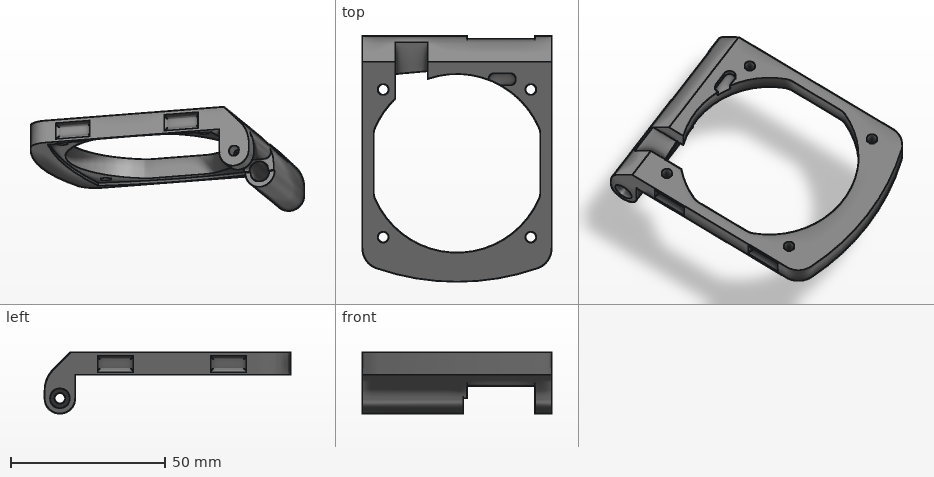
import cadquery as cq
import math


WIDTH = 61.5
LENGTH = 79.82
HEIGHT = 20.0
PLATE_THICKNESS = 7.4
REAR_Y = 41.35
FRONT_Y = REAR_Y - LENGTH
HALF_WIDTH = WIDTH / 2
FRONT_RADIUS = 80.0
FRONT_CORNER_RADIUS = 7.0

OPENING_DIAMETER = 57.9
OPENING_WIDTH = 54.0
OPENING_FILLET = 6.0
SCREW_DIAMETER = 3.4
SCREW_PITCH = 47.9
SEAT_DEPTH = 1.0
SEAT_HALF_WIDTH = 30.15
SEAT_CORNER = 27.7
SEAT_TOP_Z = SEAT_DEPTH - PLATE_THICKNESS

HINGE_DEPTH = 10.0
BARREL_RADIUS = HINGE_DEPTH / 2
HINGE_FRONT_Y = REAR_Y - HINGE_DEPTH
AXIS_Y = REAR_Y - BARREL_RADIUS
AXIS_Z = BARREL_RADIUS - HEIGHT
BACK_RADIUS = 10.0
BACK_SLOPE = math.radians(45)
BACK_ARC_Z = -12.6
BARREL_END_X = 2.1
GAP_START_X = 3.3
GAP_END_X = 25.3
BRIDGE_BOTTOM_Z = -11.1
BRIDGE_FRONT_FILLET = 0.9
BRIDGE_REAR_FILLET = 2.2
STUB_FRONT_FILLET = 0.45
BARREL_BORE_DIAMETER = 6.4
LUG_HOLE_DIAMETER = 3.4

POCKET_LEFT_X = -20.0
POCKET_RIGHT_X = -9.5
POCKET_REAR_Y = REAR_Y - 2.0

SLOT_LENGTH = 8.9
SLOT_WIDTH = 4.0
SLOT_DEPTH = 2.2
SLOT_CENTER = (14.65, 27.25)

NOTCH_LENGTH = 11.5
NOTCH_TOP_Z = -1.15
NOTCH_BOTTOM_Z = -6.5
NOTCH_DEPTH = 1.3
NOTCH_TAPER = 0.8
NOTCH_COVE_RADIUS = 0.9
NOTCH_SPACING = 36.75


def make_plate():
    """Flat plate with a bowed front edge and rounded front corners."""
    bow = FRONT_RADIUS - math.sqrt(FRONT_RADIUS**2 - HALF_WIDTH**2)
    plate = (
        cq.Workplane("XY")
        .moveTo(-HALF_WIDTH, HINGE_FRONT_Y)
        .lineTo(-HALF_WIDTH, FRONT_Y + bow)
        .threePointArc((0, FRONT_Y), (HALF_WIDTH, FRONT_Y + bow))
        .lineTo(HALF_WIDTH, HINGE_FRONT_Y)
        .close()
        .extrude(-PLATE_THICKNESS)
    )
    return plate.edges("|Z").edges("not >Y").fillet(FRONT_CORNER_RADIUS)


def hinge_section(start_x, end_x, bottom_z):
    """Rear edge from start_x to end_x: sloped top, rounded back and flat bottom at bottom_z."""

    def back_arc_point(angle):
        arc_center_y = REAR_Y - BACK_RADIUS
        return (
            arc_center_y + BACK_RADIUS * math.cos(angle),
            BACK_ARC_Z + BACK_RADIUS * math.sin(angle),
        )

    slope_end_y, slope_end_z = back_arc_point(BACK_SLOPE)
    slope_top_y = slope_end_y + slope_end_z / math.tan(BACK_SLOPE)
    block = (
        cq.Workplane("YZ", origin=(start_x, 0, 0))
        .moveTo(HINGE_FRONT_Y, -HEIGHT)
        .lineTo(HINGE_FRONT_Y, 0)
        .lineTo(slope_top_y, 0)
        .lineTo(slope_end_y, slope_end_z)
        .threePointArc(back_arc_point(BACK_SLOPE / 2), (REAR_Y, BACK_ARC_Z))
        .lineTo(REAR_Y, -HEIGHT)
        .close()
        .extrude(end_x - start_x)
    )
    keep = cq.Workplane("XY").box(
        end_x - start_x, HINGE_DEPTH, -bottom_z, centered=False
    ).translate((start_x, HINGE_FRONT_Y, bottom_z))
    return block.intersect(keep)


def make_lug(start_x, end_x):
    """Full-height hinge section ending in a half-round barrel."""
    barrel = (
        cq.Workplane("YZ", origin=(start_x, AXIS_Y, AXIS_Z))
        .circle(BARREL_RADIUS)
        .extrude(end_x - start_x)
    )
    return hinge_section(start_x, end_x, AXIS_Z).union(barrel)


def make_bridge():
    """Thin section above the hinge gap, rounded along both bottom edges."""
    bridge = hinge_section(GAP_START_X, GAP_END_X, BRIDGE_BOTTOM_Z)
    bridge = bridge.faces("<Z").edges("|X and <Y").fillet(BRIDGE_FRONT_FILLET)
    return bridge.faces("<Z").edges("|X and >Y").fillet(BRIDGE_REAR_FILLET)


def make_stub():
    """Short web between the barrel and the hinge gap, cut off at the hinge axis."""
    stub = hinge_section(BARREL_END_X, GAP_START_X, AXIS_Z)
    return stub.faces("<Z").edges("|X and <Y").fillet(STUB_FRONT_FILLET)


def make_hinge():
    """All sections of the hinge, from the long barrel at -X to the short lug at +X."""
    barrel = make_lug(-HALF_WIDTH, BARREL_END_X)
    lug = make_lug(GAP_END_X, HALF_WIDTH)
    return barrel.union(make_stub()).union(make_bridge()).union(lug)


def hinge_bore(diameter, start_x, end_x):
    """Cylinder along the hinge axis."""
    return (
        cq.Workplane("YZ", origin=(start_x, AXIS_Y, AXIS_Z))
        .circle(diameter / 2)
        .extrude(end_x - start_x)
    )


def fan_opening():
    """Round opening with flat sides, blended where they meet."""
    disc = cq.Workplane("XY").circle(OPENING_DIAMETER / 2).extrude(-PLATE_THICKNESS)
    band = cq.Workplane("XY").rect(OPENING_WIDTH, OPENING_DIAMETER).extrude(-PLATE_THICKNESS)
    return disc.intersect(band).edges("|Z").fillet(OPENING_FILLET)


def screw_holes():
    """Four through holes in a square around the fan axis."""
    return (
        cq.Workplane("XY")
        .rect(SCREW_PITCH, SCREW_PITCH, forConstruction=True)
        .vertices()
        .circle(SCREW_DIAMETER / 2)
        .extrude(-PLATE_THICKNESS)
    )


def fan_seat():
    """Shallow recess in the underside: a square with four outward-bowed sides."""
    c = SEAT_CORNER
    return (
        cq.Workplane("XY", origin=(0, 0, -PLATE_THICKNESS))
        .moveTo(-c, -c)
        .threePointArc((0, -SEAT_HALF_WIDTH), (c, -c))
        .threePointArc((SEAT_HALF_WIDTH, 0), (c, c))
        .threePointArc((0, SEAT_HALF_WIDTH), (-c, c))
        .threePointArc((-SEAT_HALF_WIDTH, 0), (-c, -c))
        .close()
        .extrude(SEAT_DEPTH)
    )


def cable_pocket():
    """Pocket down to the level of the fan seat, running from the rear edge into the opening."""
    return cq.Workplane("XY").box(
        POCKET_RIGHT_X - POCKET_LEFT_X, POCKET_REAR_Y, -SEAT_TOP_Z, centered=False
    ).translate((POCKET_LEFT_X, 0, SEAT_TOP_Z))


def top_slot():
    """Shallow round-ended slot that breaks into the fan opening."""
    return (
        cq.Workplane("XY")
        .center(*SLOT_CENTER)
        .slot2D(SLOT_LENGTH, SLOT_WIDTH)
        .extrude(-SLOT_DEPTH)
    )


def snap_notch(center_y):
    """Notch in the -X side wall, narrowing in height inwards, with a coved floor."""
    center_z = (NOTCH_TOP_Z + NOTCH_BOTTOM_Z) / 2
    mouth_height = NOTCH_TOP_Z - NOTCH_BOTTOM_Z
    notch = (
        cq.Workplane("YZ", origin=(-HALF_WIDTH, center_y, center_z))
        .rect(NOTCH_LENGTH, mouth_height)
        .workplane(offset=NOTCH_DEPTH)
        .rect(NOTCH_LENGTH, mouth_height - 2 * NOTCH_TAPER)
        .loft(ruled=True)
    )
    return notch.faces(">X").edges().fillet(NOTCH_COVE_RADIUS)


result = make_plate().union(make_hinge())
result = result.cut(fan_opening()).cut(fan_seat()).cut(screw_holes())
result = result.cut(cable_pocket()).cut(top_slot())
result = result.cut(hinge_bore(BARREL_BORE_DIAMETER, -HALF_WIDTH, GAP_START_X))
result = result.cut(hinge_bore(LUG_HOLE_DIAMETER, GAP_END_X, HALF_WIDTH))
for side_y in (-NOTCH_SPACING / 2, NOTCH_SPACING / 2):
    notch = snap_notch(side_y)
    result = result.cut(notch).cut(notch.mirror("YZ"))